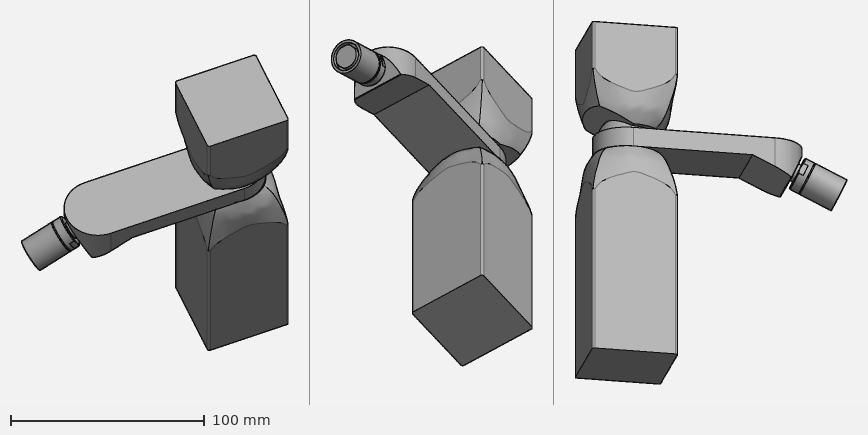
import cadquery as cq
import math


TOTAL_HEIGHT = 180.3
BLOCK_WIDTH = 45.0
CORNER_RADIUS = 1.3
TILT = math.radians(25)

END_SECTIONS = [
    (0.0, 17.7, 12.8),
    (4.5, 20.5, 16.2),
    (10.0, 22.2, 18.4),
    (16.0, 22.5, 20.2),
    (19.8, 23.3, 21.1),
    (28.8, 23.6, 22.5),
]

SPOUT_BOTTOM = 115.0
SPOUT_THICKNESS = 10.3
SPOUT_TOP = SPOUT_BOTTOM + SPOUT_THICKNESS
SPOUT_RADIUS = 17.5
SPOUT_REACH = 74.8
KEEL_START = 63.0
KEEL_BOTTOM = 105.3
OUTLET_Y = -88.3
OUTLET_Z = 114.0

CAP_RADIUS = 15.0
CAP_ROUND = 10.0

HANDLE_GAP = 2.0
HANDLE_BOTTOM = SPOUT_TOP + HANDLE_GAP

AERATOR_RADIUS = 9.0
NECK_RADIUS = 4.9
NECK_LENGTH = 1.8
COLLAR_LENGTH = 5.4
COLLAR_CHAMFER = 0.5
GROOVE_WIDTH = 0.7
GROOVE_DEPTH = 0.5
BARREL_LENGTH = 18.4
FLAT_DEPTH = 0.5
FLAT_LENGTH = 3.0
OUTLET_RING_OUTER = 7.5
OUTLET_RING_INNER = 6.1
OUTLET_RING_DEPTH = 2.7


def end_section(height, mid, corner):
    """Closed outline of four bulged sides, shaped by its mid-side and corner half widths."""
    return (
        cq.Workplane("XY", origin=(0, 0, height))
        .moveTo(-corner, -corner)
        .threePointArc((0, -mid), (corner, -corner))
        .threePointArc((mid, 0), (corner, corner))
        .threePointArc((0, mid), (-corner, corner))
        .threePointArc((-mid, 0), (-corner, -corner))
        .close()
        .val()
    )


def round_ended_block(height):
    """Square block with its flat top at the given height and its rounded end on Z = 0."""
    block = (
        cq.Workplane("XY")
        .rect(BLOCK_WIDTH, BLOCK_WIDTH)
        .extrude(height)
        .edges("|Z")
        .fillet(CORNER_RADIUS)
    )
    round_height = END_SECTIONS[-1][0]
    dome = cq.Workplane(cq.Solid.makeLoft([end_section(*section) for section in END_SECTIONS]))
    rounded_part = block.intersect(dome)
    straight_part = block.intersect(
        cq.Workplane("XY", origin=(0, 0, round_height)).rect(BLOCK_WIDTH, BLOCK_WIDTH).extrude(height)
    )
    return rounded_part.union(straight_part)


def make_column():
    upside_down = round_ended_block(SPOUT_BOTTOM)
    return upside_down.mirror("XY").translate((0, 0, SPOUT_BOTTOM))


def make_spout():
    """Round-ended arm whose underside drops to a keel that carries the sloping outlet face."""
    outline = (
        cq.Workplane("XY", origin=(0, 0, KEEL_BOTTOM))
        .center(0, -SPOUT_REACH / 2)
        .slot2D(SPOUT_REACH + 2 * SPOUT_RADIUS, 2 * SPOUT_RADIUS, 90)
        .extrude(SPOUT_TOP - KEEL_BOTTOM)
    )
    keel_drop = SPOUT_BOTTOM - KEEL_BOTTOM
    side_profile = (
        cq.Workplane("YZ")
        .moveTo(SPOUT_RADIUS, SPOUT_TOP)
        .lineTo(OUTLET_Y - (SPOUT_TOP - OUTLET_Z) * math.tan(TILT), SPOUT_TOP)
        .lineTo(OUTLET_Y + (OUTLET_Z - KEEL_BOTTOM) * math.tan(TILT), KEEL_BOTTOM)
        .lineTo(-KEEL_START - keel_drop / math.tan(TILT), KEEL_BOTTOM)
        .lineTo(-KEEL_START, SPOUT_BOTTOM)
        .lineTo(SPOUT_RADIUS, SPOUT_BOTTOM)
        .close()
        .extrude(SPOUT_RADIUS, both=True)
    )
    return outline.intersect(side_profile)


def make_cap():
    """Cartridge cap: a disc whose whole rim is rounded up to a small flat top."""
    arc_middle = CAP_ROUND * math.sqrt(0.5)
    flat_radius = CAP_RADIUS - CAP_ROUND
    return (
        cq.Workplane("XZ", origin=(0, 0, SPOUT_TOP))
        .lineTo(CAP_RADIUS, 0)
        .threePointArc((flat_radius + arc_middle, arc_middle), (flat_radius, CAP_ROUND))
        .lineTo(0, CAP_ROUND)
        .close()
        .revolve(360, (0, 0, 0), (0, 1, 0))
    )


def make_body():
    return make_column().union(make_spout()).union(make_cap())


def make_handle():
    """Upper block, relieved behind its middle so that it can tip back, and hollowed for the cap."""
    block = round_ended_block(TOTAL_HEIGHT - HANDLE_BOTTOM).translate((0, 0, HANDLE_BOTTOM))
    relief = (
        cq.Workplane("YZ")
        .moveTo(0, HANDLE_BOTTOM)
        .lineTo(BLOCK_WIDTH, HANDLE_BOTTOM)
        .lineTo(BLOCK_WIDTH, HANDLE_BOTTOM + BLOCK_WIDTH * math.tan(TILT))
        .close()
        .extrude(BLOCK_WIDTH, both=True)
    )
    return block.cut(relief).cut(make_cap())


def make_aerator():
    """Turned outlet nozzle, drawn along +Z of a plane lying on the outlet face of the spout."""
    collar_end = NECK_LENGTH + COLLAR_LENGTH
    barrel_start = collar_end + GROOVE_WIDTH
    barrel_end = barrel_start + BARREL_LENGTH
    groove_radius = AERATOR_RADIUS - GROOVE_DEPTH
    axis = cq.Vector(0, -math.cos(TILT), -math.sin(TILT))
    outlet_plane = cq.Plane(origin=(0, OUTLET_Y, OUTLET_Z), xDir=(1, 0, 0), normal=axis)

    turned = (
        cq.Workplane("XZ")
        .lineTo(NECK_RADIUS, 0)
        .lineTo(NECK_RADIUS, NECK_LENGTH)
        .lineTo(AERATOR_RADIUS - COLLAR_CHAMFER, NECK_LENGTH)
        .lineTo(AERATOR_RADIUS, NECK_LENGTH + COLLAR_CHAMFER)
        .lineTo(AERATOR_RADIUS, collar_end)
        .lineTo(groove_radius, collar_end)
        .lineTo(groove_radius, barrel_start)
        .lineTo(AERATOR_RADIUS, barrel_start)
        .lineTo(AERATOR_RADIUS, barrel_end)
        .lineTo(OUTLET_RING_OUTER, barrel_end)
        .lineTo(OUTLET_RING_OUTER, barrel_end - OUTLET_RING_DEPTH)
        .lineTo(OUTLET_RING_INNER, barrel_end - OUTLET_RING_DEPTH)
        .lineTo(OUTLET_RING_INNER, barrel_end)
        .lineTo(0, barrel_end)
        .close()
        .revolve(360, (0, 0, 0), (0, 1, 0))
    )
    for side in (-1, 1):
        spanner_flat = (
            cq.Workplane("XY", origin=(0, 0, NECK_LENGTH))
            .center(side * AERATOR_RADIUS, 0)
            .rect(2 * FLAT_DEPTH, 2 * AERATOR_RADIUS)
            .extrude(FLAT_LENGTH)
        )
        turned = turned.cut(spanner_flat)
    return cq.Workplane(turned.val().moved(outlet_plane.location))


body = make_body().solids()
handle = make_handle().solids()
aerator = make_aerator().solids()

result = cq.Compound.makeCompound([body.val(), handle.val(), aerator.val()])